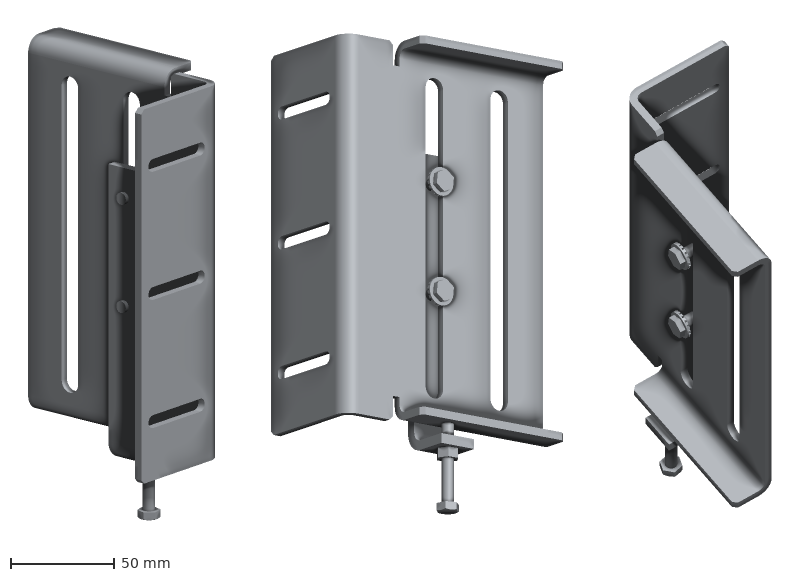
import cadquery as cq
import math

OVERALL_HEIGHT = 234.0

PLATE_WIDTH = 120.0
PLATE_HEIGHT = 190.0
SHEET = 4.0
BEND_INNER = 4.0
LIP_DEPTH = 22.0
LIP_WIDTH = 87.0
LEG_DEPTH = 56.0
CORNER_CHAMFER = 2.0
NOTCH_WIDTH = 4.0
NOTCH_DEPTH = 12.2
SLOT_WIDTH = 10.5
SLOT_LENGTH = 160.5
SLOT_CENTERS_X = (26.7, 66.0)
LEG_SLOT_WIDTH = 6.5
LEG_SLOT_LENGTH = 42.0
LEG_SLOT_PITCH = 65.0
LEG_SLOT_TIP_MARGIN = 5.4

STRAP_WIDTH = 20.0
STRAP_THICKNESS = 5.0
STRAP_BEND_INNER = 5.0
STRAP_CENTER_X = 65.3
STRAP_TOP_DROP = 52.2
STRAP_FOOT_GAP = 7.7
SCREW_END_MARGIN = 15.2
SCREW_PITCH = 55.0

THREAD_DIAMETER = 6.0
HEX_FLATS = 9.8
HEX_CORNERS = HEX_FLATS / math.cos(math.radians(30))

JACK_Y = 13.8
NUT_HEIGHT = 5.0
NUT_TURN = -3.0
JACK_HEAD_HEIGHT = 4.0
JACK_HEAD_TURN = -18.0
HEAD_CHAMFER_ANGLE = 30.0

FLANGE_DIAMETER = 14.3
FLANGE_THICKNESS = 1.9
FLANGE_GAP = 3.0
FLANGE_HEAD_HEIGHT = 5.0
FLANGE_HEAD_TURN = 37.0
SCREW_PROTRUSION = 2.0
TOOTH_COUNT = 18
TOOTH_DEPTH = 1.2
TOOTH_GAP = 1.0
TOOTH_GAP_OVERRUN = 1.1

PLATE_MID_Z = PLATE_HEIGHT / 2
BEND_OUTER = BEND_INNER + SHEET
STRAP_BEND_OUTER = STRAP_BEND_INNER + STRAP_THICKNESS
STRAP_TOP_Z = PLATE_HEIGHT - STRAP_TOP_DROP
FOOT_BOTTOM_Z = -STRAP_FOOT_GAP - STRAP_THICKNESS
JACK_BOTTOM_Z = PLATE_HEIGHT - OVERALL_HEIGHT
SCREW_HEIGHTS = [STRAP_TOP_Z - SCREW_END_MARGIN - i * SCREW_PITCH for i in range(2)]


def make_channel():
    """Channel of the sheet: an upright web with a lip bent back at each end."""
    outer = (
        cq.Workplane("YZ")
        .rect(LIP_DEPTH, PLATE_HEIGHT, centered=False)
        .extrude(LIP_WIDTH)
        .edges("|X and <Y")
        .fillet(BEND_OUTER)
    )
    inside = (
        cq.Workplane("YZ")
        .center(SHEET, SHEET)
        .rect(LIP_DEPTH, PLATE_HEIGHT - 2 * SHEET, centered=False)
        .extrude(LIP_WIDTH)
        .edges("|X and <Y")
        .fillet(BEND_INNER)
    )
    return outer.cut(inside).edges("|Z and >Y").chamfer(CORNER_CHAMFER)


def make_angle():
    """Angle of the sheet: the web right of the notches and the leg bent forward."""
    start_x = LIP_WIDTH + NOTCH_WIDTH
    depth = LEG_DEPTH + SHEET
    outer = (
        cq.Workplane("XY")
        .center(start_x, -LEG_DEPTH)
        .rect(PLATE_WIDTH - start_x, depth, centered=False)
        .extrude(PLATE_HEIGHT)
        .edges("|Z and >X and >Y")
        .fillet(BEND_OUTER)
    )
    inside = (
        cq.Workplane("XY")
        .center(start_x, -LEG_DEPTH)
        .rect(PLATE_WIDTH - SHEET - start_x, LEG_DEPTH, centered=False)
        .extrude(PLATE_HEIGHT)
        .edges("|Z and >X and >Y")
        .fillet(BEND_INNER)
    )
    angle = outer.cut(inside)
    return angle.edges("(|X and <Y) or (|Y and <X)").chamfer(CORNER_CHAMFER)


def web_bridge():
    """Web between the upper and the lower notch, joining the channel to the angle."""
    height = PLATE_HEIGHT - 2 * NOTCH_DEPTH
    return (
        cq.Workplane("XY", origin=(LIP_WIDTH, 0, NOTCH_DEPTH))
        .rect(NOTCH_WIDTH, SHEET, centered=False)
        .extrude(height)
    )


def web_slots():
    """Cutters for the two long upright slots."""
    return (
        cq.Workplane("XZ", origin=(0, SHEET, 0))
        .pushPoints([(x, PLATE_MID_Z) for x in SLOT_CENTERS_X])
        .slot2D(SLOT_LENGTH, SLOT_WIDTH, 90)
        .extrude(SHEET)
    )


def leg_slots():
    """Cutters for the three level slots in the mounting leg."""
    center_y = -LEG_DEPTH + LEG_SLOT_TIP_MARGIN + LEG_SLOT_LENGTH / 2
    return (
        cq.Workplane("YZ", origin=(PLATE_WIDTH - SHEET, 0, 0))
        .pushPoints([(center_y, PLATE_MID_Z + i * LEG_SLOT_PITCH) for i in (-1, 0, 1)])
        .slot2D(LEG_SLOT_LENGTH, LEG_SLOT_WIDTH)
        .extrude(SHEET)
    )


def make_plate():
    sheet = make_channel().union(web_bridge()).union(make_angle())
    return sheet.cut(web_slots()).cut(leg_slots())


def hexagon(height, turn):
    """Upright hexagonal prism on the origin, turned about its axis."""
    prism = cq.Workplane("XY").polygon(6, HEX_CORNERS).extrude(height)
    return prism.rotate((0, 0, 0), (0, 0, 1), turn)


def chamfer_cone(height):
    """Round blank of a hexagonal head whose bottom corners are turned off conically."""
    corner_radius = HEX_CORNERS / 2
    face_radius = HEX_FLATS / 2
    rise = (corner_radius - face_radius) * math.tan(math.radians(HEAD_CHAMFER_ANGLE))
    return (
        cq.Workplane("XZ")
        .polyline([(0, 0), (face_radius, 0), (corner_radius, rise), (corner_radius, height), (0, height)])
        .close()
        .revolve(360, (0, 0, 0), (0, 1, 0))
    )


def fixed_jack_screw():
    """Jack screw with its nut, standing between the foot of the strap and the lower lip."""
    head = hexagon(JACK_HEAD_HEIGHT, JACK_HEAD_TURN).intersect(chamfer_cone(JACK_HEAD_HEIGHT))
    shank = cq.Workplane("XY").circle(THREAD_DIAMETER / 2).extrude(-JACK_BOTTOM_Z)
    nut = hexagon(NUT_HEIGHT, NUT_TURN).translate((0, 0, FOOT_BOTTOM_Z - NUT_HEIGHT - JACK_BOTTOM_Z))
    return head.union(shank).union(nut).translate((STRAP_CENTER_X, JACK_Y, JACK_BOTTOM_Z))


def make_strap():
    """Strap with its bent foot, its two screw holes and the jack screw fixed in the foot."""
    depth = LIP_DEPTH + STRAP_THICKNESS
    left_x = STRAP_CENTER_X - STRAP_WIDTH / 2
    outer = (
        cq.Workplane("YZ", origin=(left_x, -STRAP_THICKNESS, FOOT_BOTTOM_Z))
        .rect(depth, STRAP_TOP_Z - FOOT_BOTTOM_Z, centered=False)
        .extrude(STRAP_WIDTH)
        .edges("|X and <Y and <Z")
        .fillet(STRAP_BEND_OUTER)
    )
    inside = (
        cq.Workplane("YZ", origin=(left_x, 0, -STRAP_FOOT_GAP))
        .rect(LIP_DEPTH, STRAP_TOP_Z + STRAP_FOOT_GAP, centered=False)
        .extrude(STRAP_WIDTH)
        .edges("|X and <Y and <Z")
        .fillet(STRAP_BEND_INNER)
    )
    screw_holes = (
        cq.Workplane("XZ")
        .pushPoints([(STRAP_CENTER_X, z) for z in SCREW_HEIGHTS])
        .circle(THREAD_DIAMETER / 2)
        .extrude(STRAP_THICKNESS)
    )
    return outer.cut(inside).cut(screw_holes).union(fixed_jack_screw())


def bearing_teeth_gaps():
    """Radial gaps between the locking teeth, in the bearing face of a flange on the origin."""
    mean_radius = (FLANGE_DIAMETER + THREAD_DIAMETER) / 4
    length = TOOTH_GAP_OVERRUN * (FLANGE_DIAMETER - THREAD_DIAMETER) / 2
    return (
        cq.Workplane("XY")
        .polarArray(mean_radius, 0, 360, TOOTH_COUNT)
        .rect(length, TOOTH_GAP)
        .extrude(TOOTH_DEPTH)
    )


def make_flange_screw(z):
    """Flange screw at height z; its head stands behind the plate, its tip in front of the strap."""
    shank_length = SCREW_PROTRUSION + STRAP_THICKNESS + SHEET + FLANGE_GAP
    flange = cq.Workplane("XY").circle(FLANGE_DIAMETER / 2).extrude(FLANGE_THICKNESS)
    flange = flange.cut(bearing_teeth_gaps())
    head = hexagon(FLANGE_HEAD_HEIGHT - TOOTH_DEPTH, -FLANGE_HEAD_TURN).translate((0, 0, TOOTH_DEPTH))
    shank = (
        cq.Workplane("XY", origin=(0, 0, -shank_length))
        .circle(THREAD_DIAMETER / 2)
        .extrude(shank_length + TOOTH_DEPTH)
    )
    upright = flange.union(head).union(shank)
    return upright.rotate((0, 0, 0), (1, 0, 0), -90).translate((STRAP_CENTER_X, SHEET + FLANGE_GAP, z))


plate = make_plate()
strap = make_strap()
flange_screws = [make_flange_screw(z).val() for z in SCREW_HEIGHTS]

result = cq.Compound.makeCompound([plate.val(), strap.val(), *flange_screws])